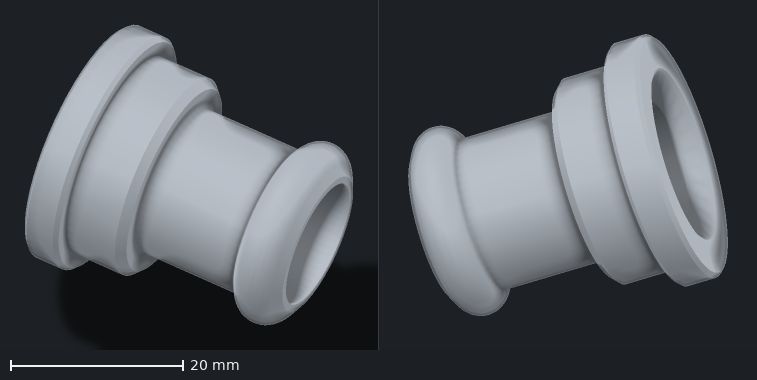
import cadquery as cq
import math

length = 31.0

flange_radius = 29.5 / 2
flange_width = 4.5
flange_chamfer = 0.5

hub_radius = 25.0 / 2
hub_end = 12.0
hub_chamfer = 1.0

tube_radius = 18.3 / 2
tube_root_fillet = 0.8
bead_root_fillet = 0.4

bead_center = 27.73
bead_crest_radius = 22.78 / 2
bead_crown_radius = 2.8
bead_cone_angle = math.radians(60)

throat_radius = 14.0 / 2
mouth_radius = 21.0 / 2
mouth_half_angle = math.radians(60)
mouth_depth = (mouth_radius - throat_radius) / math.tan(mouth_half_angle)
socket_radius = 15.3 / 2
socket_start = 10.85


def revolve_about_x(outline):
    """Turn a closed half outline into a solid of revolution about X."""
    return outline.revolve(360, (0, 0, 0), (1, 0, 0))


def outer_body():
    """Revolve the outer outline about the X axis."""
    sin_cone = math.sin(bead_cone_angle)
    cos_cone = math.cos(bead_cone_angle)
    slope = math.tan(bead_cone_angle)
    crown_half_width = bead_crown_radius * sin_cone
    crown_edge_radius = bead_crest_radius - bead_crown_radius * (1 - cos_cone)
    crown_start = bead_center - crown_half_width
    crown_end = bead_center + crown_half_width

    bead_root = crown_start - (crown_edge_radius - tube_radius) / slope
    lip_radius = crown_edge_radius - (length - crown_end) * slope

    setback = bead_root_fillet * math.tan(bead_cone_angle / 2)
    half_sweep = bead_cone_angle / 2

    outline = (
        cq.Workplane("XY")
        .moveTo(0, 0)
        .lineTo(0, flange_radius - flange_chamfer)
        .lineTo(flange_chamfer, flange_radius)
        .lineTo(flange_width - flange_chamfer, flange_radius)
        .lineTo(flange_width, flange_radius - flange_chamfer)
        .lineTo(flange_width, hub_radius)
        .lineTo(hub_end - hub_chamfer, hub_radius)
        .lineTo(hub_end, hub_radius - hub_chamfer)
        .lineTo(hub_end, tube_radius + tube_root_fillet)
        .radiusArc((hub_end + tube_root_fillet, tube_radius), -tube_root_fillet)
        .lineTo(bead_root - setback, tube_radius)
        .threePointArc(
            (
                bead_root - setback + bead_root_fillet * math.sin(half_sweep),
                tube_radius + bead_root_fillet * (1 - math.cos(half_sweep)),
            ),
            (bead_root + setback * cos_cone, tube_radius + setback * sin_cone),
        )
        .lineTo(crown_start, crown_edge_radius)
        .threePointArc((bead_center, bead_crest_radius), (crown_end, crown_edge_radius))
        .lineTo(length, lip_radius)
        .lineTo(length, 0)
        .close()
    )
    return revolve_about_x(outline)


def bore():
    """Revolve the bore: conical mouth, throat and socket."""
    outline = (
        cq.Workplane("XY")
        .moveTo(0, 0)
        .lineTo(0, mouth_radius)
        .lineTo(mouth_depth, throat_radius)
        .lineTo(socket_start, throat_radius)
        .lineTo(socket_start, socket_radius)
        .lineTo(length, socket_radius)
        .lineTo(length, 0)
        .close()
    )
    return revolve_about_x(outline)


result = outer_body().cut(bore())